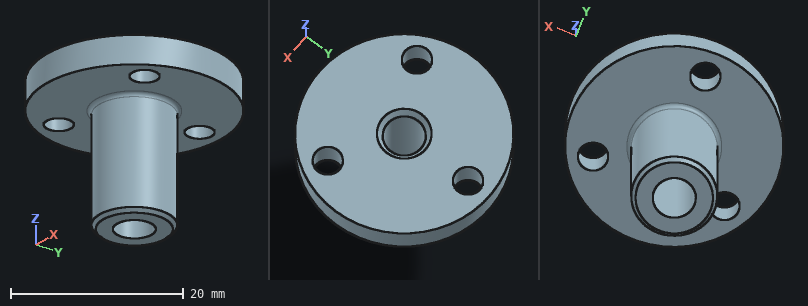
import cadquery as cq

flange_diameter = 25.4
flange_thickness = 3.8
overall_height = 19.0

stem_diameter = 10.0
stem_length = overall_height - flange_thickness
stem_end_chamfer = 0.5
stem_root_fillet = 0.5

bore_diameter = 5.0
countersink_diameter = 6.35
countersink_angle = 90.0

mounting_hole_count = 3
mounting_hole_diameter = 3.5
mounting_circle_radius = 9.52
first_hole_angle = 90.0
full_turn = 360.0


def make_flange():
    return cq.Workplane("XY").circle(flange_diameter / 2).extrude(-flange_thickness)


def add_stem(body):
    body = body.faces("<Z").workplane().circle(stem_diameter / 2).extrude(stem_length)
    body = body.faces("<Z").edges().chamfer(stem_end_chamfer)
    underside_edges = body.faces("|Z").faces(">Z[-2]").edges()
    return underside_edges.edges(cq.selectors.RadiusNthSelector(0)).fillet(stem_root_fillet)


def cut_bore(body):
    return body.faces(">Z").workplane(origin=(0, 0, 0)).cskHole(
        bore_diameter, countersink_diameter, countersink_angle
    )


def cut_mounting_holes(body):
    return (
        body.faces(">Z")
        .workplane(origin=(0, 0, 0))
        .polarArray(mounting_circle_radius, first_hole_angle, full_turn, mounting_hole_count)
        .hole(mounting_hole_diameter)
    )


result = cut_mounting_holes(cut_bore(add_stem(make_flange())))